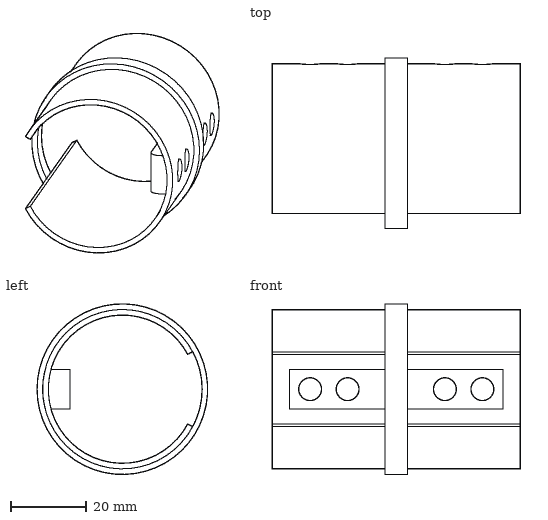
import cadquery as cq
import math

tube_length = 66.0
wall = 1.5
collar_radius = 22.7
tube_radius = collar_radius - wall
bore_radius = tube_radius - wall
gap_half_angle = math.radians(28.0)

collar_width = 6.0

block_length = 56.6
block_height = 10.55
block_face_y = 13.85
block_corner_radius = 3.0

hole_diameter = 6.0
inner_hole_x = 12.95
hole_spacing = 9.95


def cylinder_x(radius, length):
    """Solid cylinder along X, centred on the origin."""
    return cq.Workplane("YZ").circle(radius).extrude(length / 2, both=True)


def make_split_tube():
    """Tube with a radial-sided gap facing -Y."""
    tube = cylinder_x(tube_radius, tube_length).cut(cylinder_x(bore_radius, tube_length))
    gap_depth = 2 * tube_radius
    gap_half_width = gap_depth * math.tan(gap_half_angle)
    gap = (
        cq.Workplane("YZ")
        .polyline([(0, 0), (-gap_depth, gap_half_width), (-gap_depth, -gap_half_width)])
        .close()
        .extrude(tube_length / 2, both=True)
    )
    return tube.cut(gap)


def make_collar():
    """Unbroken ring seated on the outside of the tube."""
    return cylinder_x(collar_radius, collar_width).cut(cylinder_x(tube_radius, collar_width))


def make_block():
    """Block with rounded front corners, its back following the tube wall."""
    block_depth = tube_radius - block_face_y
    block = (
        cq.Workplane("XY")
        .box(block_length, block_depth, block_height)
        .translate((0, block_face_y + block_depth / 2, 0))
        .edges("|Z and <Y")
        .fillet(block_corner_radius)
    )
    middle_of_wall = tube_radius - wall / 2
    return block.intersect(cylinder_x(middle_of_wall, tube_length))


def make_screw_holes():
    """Four cylinders along +Y that pass through the block and the tube wall."""
    outer_hole_x = inner_hole_x + hole_spacing
    positions = [(side * x, 0) for side in (-1, 1) for x in (inner_hole_x, outer_hole_x)]
    return cq.Workplane("XZ").pushPoints(positions).circle(hole_diameter / 2).extrude(-collar_radius)


result = make_split_tube().union(make_collar()).union(make_block()).cut(make_screw_holes())